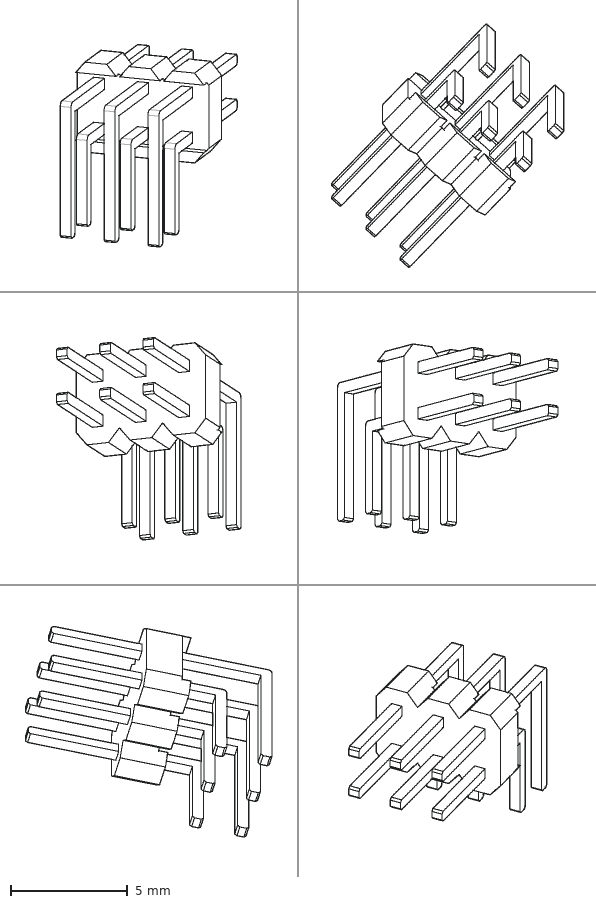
import cadquery as cq


columns = 3
body_width = 6.01
overall_depth = 9.75
overall_height = 6.8

pitch = body_width / columns
body_height = 2 * pitch
body_depth = pitch
lip_overhang = 0.4
lip_thickness = 0.5
flat_width = pitch / 2
notch_depth = 0.59

pin_size = 0.5
tip_chamfer = 0.1
bend_radius = 0.195
mating_length = 4.0

body_top = body_height / 2
leg_bottom = body_top - overall_height
pin_end = overall_depth / 2
body_back = pin_end - mating_length
body_front = body_back - body_depth
outer_leg_front = -overall_depth / 2
column_positions = [(i - (columns - 1) / 2) * pitch for i in range(columns)]


def make_column(x):
    """One octagonal body column, running along Y."""
    half_width = pitch / 2
    half_flat = flat_width / 2
    shoulder = body_top - notch_depth
    outline = [
        (x - half_width, -shoulder),
        (x - half_flat, -body_top),
        (x + half_flat, -body_top),
        (x + half_width, -shoulder),
        (x + half_width, shoulder),
        (x + half_flat, body_top),
        (x - half_flat, body_top),
        (x - half_width, shoulder),
    ]
    return (
        cq.Workplane("XZ", origin=(0, body_back, 0))
        .polyline(outline)
        .close()
        .extrude(body_depth)
    )


def make_body():
    """Joined columns with the front face recessed between the two lips."""
    body = make_column(column_positions[0])
    for x in column_positions[1:]:
        body = body.union(make_column(x))
    recess = cq.Workplane("XY").box(
        body_width, lip_overhang, body_height - 2 * lip_thickness
    ).translate((0, body_front + lip_overhang / 2, 0))
    return body.cut(recess)


def make_pin(x, z, leg_front):
    """L-shaped pin: a straight run along Y at height z, then a leg down at leg_front."""
    top = z + pin_size / 2
    underside = z - pin_size / 2
    leg_back = leg_front + pin_size
    outline = [
        (leg_front, leg_bottom),
        (leg_front, top),
        (pin_end, top),
        (pin_end, underside),
        (leg_back, underside),
        (leg_back, leg_bottom),
    ]
    pin = (
        cq.Workplane("YZ", origin=(x - pin_size / 2, 0, 0))
        .polyline(outline)
        .close()
        .extrude(pin_size)
    )
    pin = pin.faces(">Y").edges("|X").chamfer(tip_chamfer)
    pin = pin.faces("<Z").edges("|X").chamfer(tip_chamfer)
    return pin.faces("<Y").edges(">Z").fillet(bend_radius)


result = make_body()
for column_x in column_positions:
    result = result.union(make_pin(column_x, pitch / 2, outer_leg_front))
    result = result.union(make_pin(column_x, -pitch / 2, outer_leg_front + pitch))